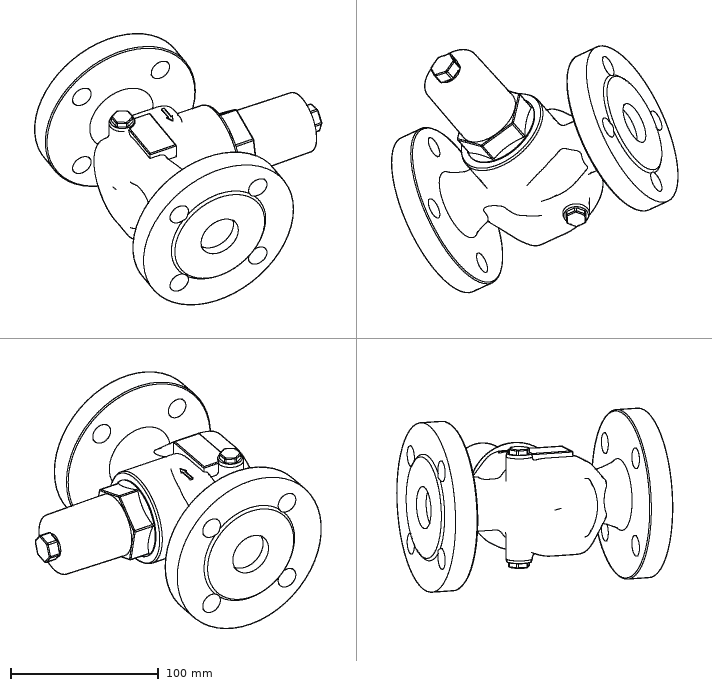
import cadquery as cq
import math


overall_length = 160.0
half_length = overall_length / 2
raised_face_height = 1.7
raised_face_diameter = 72.3
raised_face_chamfer = 1.7
flange_radius = 57.5
flange_front_x = half_length - raised_face_height
flange_rim_width = 15.5
flange_rim_chamfer = 0.9
flange_back_x = 61.2
neck_root_radius = 24.3
neck_root_fillet_x = 58.2
neck_large_radius = 22.5
neck_mid_x = 52.1
neck_mid_radius = 20.0
neck_small_x = 46.7
pipe_radius = 18.5
bore_diameter = 28.5
bore_depth = 7.0
bolt_hole_diameter = 14.0
bolt_circle_diameter = 85.2
bolt_count = 4

body_radius = 32.7
body_bottom_y = -38.4
body_bottom_fillet = 5.2
bottom_dome_height = 0.9
body_top_y = 42.4
body_top_chamfer = 1.5
pipe_fillet = 4.3

selection_margin = 0.2

nut_seat_radius = 27.1
nut_seat_edge_height = 0.7
nut_seat_cone_height = 3.5
nut_seat_cone_radius = 22.5
bonnet_nut_radius = 26.6
bonnet_nut_top_y = 58.5
bonnet_nut_angle = 42
cap_bottom_y = 59.3
cap_top_y = 106.5
cap_bottom_radius = 21.9
cap_top_radius = 21.2
cap_edge_fillet = 2.0
stem_radius = 8.2
adjuster_radius = 9.9
adjuster_bottom_y = 108.1
adjuster_top_y = 116.3
adjuster_angle = 10
hex_corner_trim = 0.3
hex_end_chamfer = 0.7

duct_half_height = body_radius
duct_flat_x = 16.5
duct_shoulder_radius = 22.6
duct_slope_angle = 43
duct_end_x = 46.0
outlet_top_y = -8.7
outlet_bottom_y = -38.2
outlet_start_bend_x = 20.9
outlet_bottom_bend_x = 23.0
outlet_end_bend_x = 38.2
outlet_end_top_y = 7.0
outlet_end_bottom_y = -15.6
duct_bend_fillet = 8.7
outlet_edge_fillet = 5.2
inlet_top_y = 18.8
inlet_bottom_y = -4.2
inlet_end_top_y = 8.7
inlet_end_bottom_y = -5.9
inlet_bend_x = 24.3
inlet_edge_fillet = 4.2

boss_x = -19.3
boss_y = -21.7
boss_radius = 9.0
boss_half_height = 37.2
boss_chamfer_height = 2.0
boss_chamfer_width = 0.7
boss_fillet = 2.6
plug_radius = 7.6
plug_half_height = 40.8

plate_left_x = -19.0
plate_right_x = 19.6
plate_bottom_y = -21.4
plate_top_y = -0.9
plate_top_z = 36.3
plate_chamfer = 0.7

arrow_tail_x = -21.9
arrow_neck_x = -12.2
arrow_tip_x = -7.5
arrow_y = 10.8
arrow_half_width = 1.0
arrow_head_half_width = 2.3
arrow_relief = 0.5


def turn_about_y(profile):
    return profile.close().revolve(360, (0, 0, 0), (0, 1, 0))


def disc_along_y(radius, start_y, end_y):
    plane = cq.Workplane("XZ", origin=(0, start_y, 0))
    return plane.circle(radius).extrude(start_y - end_y)


def hexagon_bar(corner_radius, height):
    """Hexagon bar standing on XY, its corners turned down and its top edges chamfered."""
    bar = cq.Workplane("XY").polygon(6, 2 * corner_radius).extrude(height)
    turned = cq.Workplane("XY").circle(corner_radius - hex_corner_trim).extrude(height)
    return bar.intersect(turned).faces(">Z").chamfer(hex_end_chamfer)


def hexagon_along_y(corner_radius, start_y, end_y, angle):
    bar = hexagon_bar(corner_radius, end_y - start_y)
    bar = bar.rotate((0, 0, 0), (1, 0, 0), -90).rotate((0, 0, 0), (0, 1, 0), -angle)
    return bar.translate((0, start_y, 0))


def flange_and_neck():
    """Right-hand flange with its raised face, conical back, and neck."""
    rim_back_x = flange_front_x - flange_rim_width
    raised_radius = raised_face_diameter / 2
    turned = (
        cq.Workplane("XY")
        .moveTo(neck_small_x, 0)
        .lineTo(half_length, 0)
        .lineTo(half_length, raised_radius - raised_face_chamfer)
        .lineTo(flange_front_x, raised_radius)
        .lineTo(flange_front_x, flange_radius)
        .lineTo(rim_back_x, flange_radius)
        .lineTo(rim_back_x - flange_rim_chamfer, flange_radius - flange_rim_chamfer)
        .lineTo(flange_back_x, neck_root_radius)
        .lineTo(neck_root_fillet_x, neck_large_radius)
        .threePointArc((neck_mid_x, neck_mid_radius), (neck_small_x, pipe_radius))
        .lineTo(neck_small_x, 0)
        .close()
        .revolve(360, (0, 0, 0), (1, 0, 0))
    )
    bore = cq.Workplane("YZ", origin=(half_length - bore_depth, 0, 0))
    bore = bore.circle(bore_diameter / 2).extrude(bore_depth)
    holes_start_x = flange_back_x - 1.7
    holes = (
        cq.Workplane("YZ", origin=(holes_start_x, 0, 0))
        .polarArray(bolt_circle_diameter / 2, 180 / bolt_count, 360, bolt_count)
        .circle(bolt_hole_diameter / 2)
        .extrude(half_length - holes_start_x)
    )
    return turned.cut(bore).cut(holes)


def round_body():
    flat_radius = body_radius - body_bottom_fillet
    corner_y = body_bottom_y + body_bottom_fillet
    dome_mid = (flat_radius / 2, body_bottom_y - 0.75 * bottom_dome_height)
    diagonal = body_bottom_fillet * math.sqrt(0.5)
    return turn_about_y(
        cq.Workplane("XY")
        .moveTo(0, body_bottom_y - bottom_dome_height)
        .threePointArc(dome_mid, (flat_radius, body_bottom_y))
        .threePointArc((flat_radius + diagonal, corner_y - diagonal), (body_radius, corner_y))
        .lineTo(body_radius, body_top_y - body_top_chamfer)
        .lineTo(body_radius - body_top_chamfer / 2, body_top_y)
        .lineTo(0, body_top_y)
    )


def bonnet():
    seat = turn_about_y(
        cq.Workplane("XY")
        .moveTo(0, body_top_y)
        .lineTo(nut_seat_radius, body_top_y)
        .lineTo(nut_seat_radius, body_top_y + nut_seat_edge_height)
        .lineTo(nut_seat_cone_radius, body_top_y + nut_seat_cone_height)
        .lineTo(0, body_top_y + nut_seat_cone_height)
    )
    nut_bottom_y = body_top_y + nut_seat_edge_height
    nut = hexagon_along_y(bonnet_nut_radius, nut_bottom_y, bonnet_nut_top_y, bonnet_nut_angle)
    cap = turn_about_y(
        cq.Workplane("XY")
        .moveTo(0, bonnet_nut_top_y)
        .lineTo(cap_bottom_radius, bonnet_nut_top_y)
        .lineTo(cap_bottom_radius, cap_bottom_y)
        .lineTo(cap_top_radius, cap_top_y)
        .lineTo(0, cap_top_y)
    ).faces(">Y").edges().fillet(cap_edge_fillet)
    stem = disc_along_y(stem_radius, cap_top_y, adjuster_bottom_y)
    adjuster = hexagon_along_y(adjuster_radius, adjuster_bottom_y, adjuster_top_y, adjuster_angle)
    return seat.union(nut).union(cap).union(stem).union(adjuster)


def duct_height_profile():
    """Right-hand duct outline in XZ, extruded through the whole body height along Y."""
    slope = math.radians(duct_slope_angle)
    half_slope = slope / 2
    mid_x = duct_flat_x + duct_shoulder_radius * math.sin(half_slope)
    mid_z = duct_half_height - duct_shoulder_radius * (1 - math.cos(half_slope))
    slope_x = duct_flat_x + duct_shoulder_radius * math.sin(slope)
    slope_z = duct_half_height - duct_shoulder_radius * (1 - math.cos(slope))
    end_z = slope_z - (duct_end_x - slope_x) * math.tan(slope)
    return (
        cq.Workplane("XZ")
        .moveTo(0, duct_half_height)
        .lineTo(duct_flat_x, duct_half_height)
        .threePointArc((mid_x, mid_z), (slope_x, slope_z))
        .lineTo(duct_end_x, end_z)
        .lineTo(duct_end_x, -end_z)
        .lineTo(slope_x, -slope_z)
        .threePointArc((mid_x, -mid_z), (duct_flat_x, -duct_half_height))
        .lineTo(0, -duct_half_height)
        .close()
        .extrude(body_radius * 2, both=True)
    )


def round_bends(plan):
    """Round the upright corners of a duct plan, except those on its two end faces."""
    end_corners = plan.faces("<X or >X").edges("|Z").vals()
    bends = [edge for edge in plan.edges("|Z").vals() if edge not in end_corners]
    return plan.newObject(bends).fillet(duct_bend_fillet)


def round_duct_edges(duct, radius):
    """Round the long edges between the duct walls and its curved top and bottom."""
    long_edges = duct.edges("not(|Z or |Y)")
    return duct.newObject(long_edges.vals()).fillet(radius)


def outlet_duct():
    plan = (
        cq.Workplane("XY")
        .moveTo(0, outlet_top_y)
        .lineTo(outlet_start_bend_x, outlet_top_y)
        .lineTo(outlet_end_bend_x, outlet_end_top_y)
        .lineTo(duct_end_x, outlet_end_top_y)
        .lineTo(duct_end_x, outlet_end_bottom_y)
        .lineTo(outlet_bottom_bend_x, outlet_bottom_y)
        .lineTo(0, outlet_bottom_y)
        .close()
        .extrude(duct_half_height, both=True)
    )
    plan = round_bends(plan)
    duct = plan.intersect(duct_height_profile())
    return round_duct_edges(duct, outlet_edge_fillet)


def inlet_duct():
    plan = (
        cq.Workplane("XY")
        .moveTo(0, inlet_bottom_y)
        .lineTo(0, inlet_top_y)
        .lineTo(-inlet_bend_x, inlet_top_y)
        .lineTo(-duct_end_x, inlet_end_top_y)
        .lineTo(-duct_end_x, inlet_end_bottom_y)
        .close()
        .extrude(duct_half_height, both=True)
    )
    plan = round_bends(plan)
    duct = plan.intersect(duct_height_profile().mirror("YZ"))
    return round_duct_edges(duct, inlet_edge_fillet)


def gauge_boss():
    boss = cq.Workplane("XY").center(boss_x, boss_y).circle(boss_radius).extrude(boss_half_height)
    boss = boss.faces(">Z").chamfer(boss_chamfer_height, boss_chamfer_width)
    plug = hexagon_bar(plug_radius, plug_half_height).translate((boss_x, boss_y, 0))
    return boss.union(plug)


def name_plate():
    plate = cq.Workplane("XY").box(
        plate_right_x - plate_left_x, plate_top_y - plate_bottom_y, plate_top_z, centered=False)
    return plate.translate((plate_left_x, plate_bottom_y, 0)).faces(">Z").chamfer(plate_chamfer)


def body_with_pipe_and_bosses():
    """Round body crossed by the pipe and the gauge bosses, with fillets where they meet."""
    pipe = cq.Workplane("YZ").circle(pipe_radius).extrude(neck_small_x, both=True)
    crossed = round_body().union(pipe)
    seam_reach = body_radius + selection_margin
    pipe_seams = cq.selectors.BoxSelector(
        (-seam_reach, -pipe_radius, -pipe_radius), (seam_reach, pipe_radius, pipe_radius))
    crossed = crossed.edges(pipe_seams).fillet(pipe_fillet)

    boss = gauge_boss()
    joined = crossed.union(boss).union(boss.mirror("XY"))
    reach = boss_radius + selection_margin
    for low_z, high_z in ((0, body_radius), (-body_radius, 0)):
        boss_seam = cq.selectors.BoxSelector(
            (boss_x - reach, boss_y - reach, low_z), (boss_x + reach, boss_y + reach, high_z),
            boundingbox=True)
        joined = joined.edges(boss_seam).fillet(boss_fillet)
    return joined


def flow_arrow():
    outline = (
        cq.Workplane("XY", origin=(0, arrow_y, 0))
        .moveTo(arrow_tip_x, 0)
        .lineTo(arrow_neck_x, arrow_head_half_width)
        .lineTo(arrow_neck_x, arrow_half_width)
        .lineTo(arrow_tail_x, arrow_half_width)
        .lineTo(arrow_tail_x, -arrow_half_width)
        .lineTo(arrow_neck_x, -arrow_half_width)
        .lineTo(arrow_neck_x, -arrow_head_half_width)
        .close()
    )
    return outline.extrude(duct_half_height + arrow_relief)


flange = flange_and_neck()
result = body_with_pipe_and_bosses().union(bonnet())
for piece in (outlet_duct(), inlet_duct(), name_plate(), flow_arrow(),
              flange, flange.mirror("YZ")):
    result = result.union(piece)